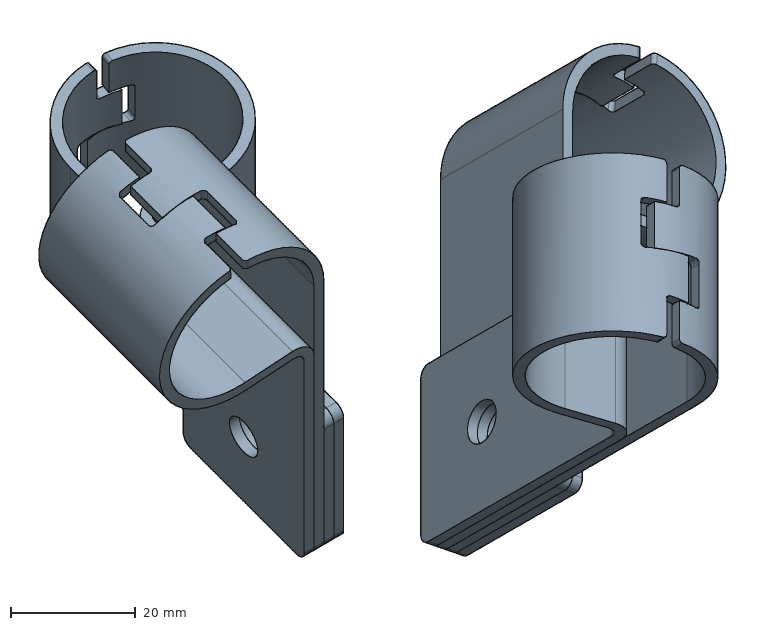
import cadquery as cq
import math


strap_thickness = 2.0
strap_width = 32.0
ring_radius = 16.0
leg_reach = 67.0
hook_offset = 1.1
tilt_angle = 5
bend_radius = 2.0
hole_diameter = 7.5
leg_corner_radius = 2.0

lock_depth = 4.5
lock_land = 7.7
lock_slant_angle = 5
lock_clearance = 0.13
lock_corner_radius = 0.7

inner_radius = ring_radius - strap_thickness
hole_x = leg_reach - strap_width / 2
mid_width = strap_width / 2
cut_margin = 0.9
tab_overrun_angle = 30


def polar(center, radius, angle):
    """Point at a radius and an angle in degrees from a centre."""
    radians = math.radians(angle)
    return (center[0] + radius * math.cos(radians), center[1] + radius * math.sin(radians))


def curved_strap(center, inside, outside, start_angle, end_angle):
    """Stretch of strap bent around a centre, extruded over the strap width."""
    middle_angle = (start_angle + end_angle) / 2
    return (
        cq.Workplane("XY")
        .moveTo(*polar(center, outside, start_angle))
        .threePointArc(polar(center, outside, middle_angle), polar(center, outside, end_angle))
        .lineTo(*polar(center, inside, end_angle))
        .threePointArc(polar(center, inside, middle_angle), polar(center, inside, start_angle))
        .close()
        .extrude(strap_width)
    )


def drilled_leg(start_x, bottom_y):
    """Flat leg with rounded end corners and the bolt hole."""
    leg = (
        cq.Workplane("XY")
        .box(leg_reach - start_x, strap_thickness, strap_width, centered=False)
        .translate((start_x, bottom_y, 0))
        .edges(">X and |Y")
        .fillet(leg_corner_radius)
    )
    hole = (
        cq.Workplane("XZ", origin=(hole_x, bottom_y, mid_width))
        .circle(hole_diameter / 2)
        .extrude(strap_thickness, both=True)
    )
    return leg.cut(hole)


def locking_ring(end_angle):
    """Part ring whose end at 180 degrees is cut to a land, a notch, a tab and a land."""
    slant_shift = lock_depth * math.tan(math.radians(lock_slant_angle))
    notch_side = lock_land - lock_clearance
    slant_center = mid_width + lock_clearance
    tab_side = strap_width - lock_land - lock_clearance
    base = -ring_radius - cut_margin

    notch_outer = (-lock_depth, notch_side)
    notch_inner = (-lock_depth, slant_center + slant_shift)
    tab_root = (0, tab_side)
    land_start = (0, 0)
    land_end = (0, strap_width)
    plate = (
        cq.Workplane("YZ")
        .polyline([
            (base, 0),
            land_start,
            (0, notch_side),
            notch_outer,
            notch_inner,
            (lock_depth, slant_center - slant_shift),
            (lock_depth, tab_side),
            tab_root,
            land_end,
            (base, strap_width),
        ])
        .close()
        .extrude(base)
    )
    for y, z in (land_start, notch_outer, notch_inner, tab_root, land_end):
        corner = cq.selectors.NearestToPointSelector((base / 2, y, z))
        plate = plate.edges("|X").edges(corner).fillet(lock_corner_radius)

    overrun = (
        cq.Workplane("XY")
        .box(-base, -2 * base, strap_width, centered=(False, True, False))
        .translate((base, 0, 0))
        .cut(plate)
    )
    ring = curved_strap((0, 0), inner_radius, ring_radius, 180 - tab_overrun_angle, end_angle)
    return ring.cut(overrun)


def make_leg_half():
    """Quarter ring running straight out into the outer leg."""
    return locking_ring(270).union(drilled_leg(0, -ring_radius))


def make_hook_half():
    """Half ring, straight neck and bend into the inner leg that lies on the leg half."""
    ring_center = (0, hook_offset)
    leg_bottom = -ring_radius + strap_thickness
    bend_outer = bend_radius + strap_thickness
    neck_angle = -90 - tilt_angle

    neck_start = polar(ring_center, ring_radius, -tilt_angle)
    bend_start = polar(ring_center, ring_radius + bend_radius, -tilt_angle)
    neck_drop = bend_start[1] - (leg_bottom + bend_outer)
    neck_length = neck_drop / math.cos(math.radians(tilt_angle))
    bend_center = polar(bend_start, neck_length, neck_angle)

    ring = (
        locking_ring(360)
        .rotate((0, 0, mid_width), (1, 0, mid_width), 180)
        .rotate((0, 0, 0), (0, 0, 1), -tilt_angle)
        .translate((*ring_center, 0))
    )
    neck_inner = polar(ring_center, inner_radius, -tilt_angle)
    neck = (
        cq.Workplane("XY")
        .polyline([
            neck_start,
            neck_inner,
            polar(neck_inner, neck_length, neck_angle),
            polar(neck_start, neck_length, neck_angle),
        ])
        .close()
        .extrude(strap_width)
    )
    bend = curved_strap(bend_center, bend_radius, bend_outer, 180 - tilt_angle, 270)
    leg = drilled_leg(bend_center[0], leg_bottom)
    return ring.union(neck).union(bend).union(leg)


def place_on_both_clamps(half):
    """Copies of a half on both clamps, each tilted about Z.

    The upright clamp is the other one after a half turn about the diagonal of the outer leg's face.
    """
    axis_start = (hole_x, -ring_radius, mid_width)
    axis_end = (hole_x + 0.9, -ring_radius, mid_width - 0.9)
    copies = []
    for turn_angle in (0, 180):
        placed = half.rotate(axis_start, axis_end, turn_angle).rotate((0, 0, 0), (0, 0, 1), tilt_angle)
        copies.append(placed.solids().val())
    return copies


leg_halves = place_on_both_clamps(make_leg_half())
hook_halves = place_on_both_clamps(make_hook_half())

result = cq.Compound.makeCompound([*leg_halves, *hook_halves])